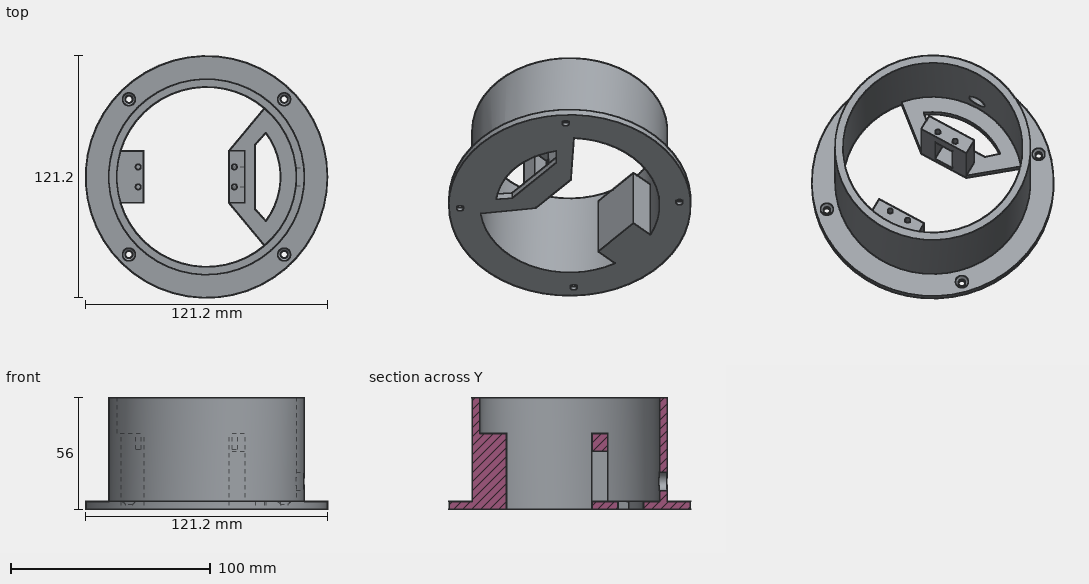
import cadquery as cq
import math

total_height = 56.0
flange_diameter = 121.25
flange_thickness = 4.0
tube_outer_radius = 49.0
tube_wall = 4.0
tube_inner_radius = tube_outer_radius - tube_wall
wall_middle_radius = tube_outer_radius - tube_wall / 2

flange_hole_circle_radius = 55.0
flange_hole_count = 4
first_flange_hole_angle = 45.0
flange_hole_diameter = 3.5
countersink_diameter = 6.4
countersink_angle = math.radians(90)

mount_width = 26.0
mount_top = 38.0
left_mount_face_x = -31.5
right_mount_face_x = 11.2
right_mount_depth = 8.0
screw_diameter = 2.7
screw_depth = 8.0
screw_spacing = 10.0
screw_edge_distance = 2.75

arch_width = 10.0
arch_lintel_height = 9.0
arch_top = mount_top - arch_lintel_height

shelf_top = flange_thickness
shelf_side_angle = math.radians(50.3)
window_near_x = 24.4
window_near_half_width = 16.2
window_side_angle = math.radians(47.7)
window_outer_radius = 37.0

cable_hole_diameter = 9.0
cable_hole_height = 14.0


def cylinder(radius, height):
    return cq.Workplane("XY").circle(radius).extrude(height)


def box(x_min, x_max, width, z_min, z_max):
    """Block centred on Y = 0."""
    return (
        cq.Workplane("XY", origin=((x_min + x_max) / 2, 0, z_min))
        .rect(x_max - x_min, width)
        .extrude(z_max - z_min)
    )


def flared_wedge(near_x, near_half_width, side_angle, radius, height):
    """Plate that widens from a flat near edge toward +X and ends on a cylinder."""
    far_x = radius
    far_half_width = near_half_width + (far_x - near_x) * math.tan(side_angle)
    outline = [
        (near_x, -near_half_width),
        (far_x, -far_half_width),
        (far_x, far_half_width),
        (near_x, near_half_width),
    ]
    plate = cq.Workplane("XY").polyline(outline).close().extrude(height)
    return plate.intersect(cylinder(radius, height))


def flanged_tube():
    flange = cylinder(flange_diameter / 2, flange_thickness)
    body = flange.union(cylinder(tube_outer_radius, total_height))
    return body.cut(cylinder(tube_inner_radius, total_height))


def flange_holes():
    """Through holes countersunk from the top of the flange."""
    hole_radius = flange_hole_diameter / 2
    sink_radius = countersink_diameter / 2
    sink_depth = (sink_radius - hole_radius) / math.tan(countersink_angle / 2)
    sink_bottom = flange_thickness - sink_depth
    half_profile = [
        (0, 0),
        (hole_radius, 0),
        (hole_radius, sink_bottom),
        (sink_radius, flange_thickness),
        (0, flange_thickness),
    ]
    hole = cq.Workplane("XZ").polyline(half_profile).close().revolve(360, (0, 0, 0), (0, 1, 0))
    return (
        cq.Workplane("XY")
        .polarArray(flange_hole_circle_radius, first_flange_hole_angle, 360, flange_hole_count)
        .eachpoint(hole.val(), combine="a")
    )


def shelf():
    plate = flared_wedge(
        right_mount_face_x, mount_width / 2, shelf_side_angle, wall_middle_radius, shelf_top
    )
    window = flared_wedge(
        window_near_x, window_near_half_width, window_side_angle, window_outer_radius, shelf_top
    )
    return plate.cut(window)


def right_mount():
    back_x = right_mount_face_x + right_mount_depth
    block = box(right_mount_face_x, back_x, mount_width, 0, mount_top)
    return block.cut(box(right_mount_face_x, back_x, arch_width, shelf_top, arch_top))


def left_mount():
    block = box(-tube_outer_radius, left_mount_face_x, mount_width, 0, mount_top)
    return block.intersect(cylinder(wall_middle_radius, mount_top))


def screw_holes():
    left_x = left_mount_face_x - screw_edge_distance
    right_x = right_mount_face_x + screw_edge_distance
    places = [(x, side * screw_spacing / 2) for x in (left_x, right_x) for side in (-1, 1)]
    return (
        cq.Workplane("XY", origin=(0, 0, mount_top))
        .pushPoints(places)
        .circle(screw_diameter / 2)
        .extrude(-screw_depth)
    )


def cable_hole():
    return (
        cq.Workplane("YZ", origin=(wall_middle_radius, 0, cable_hole_height))
        .circle(cable_hole_diameter / 2)
        .extrude(tube_wall, both=True)
    )


result = (
    flanged_tube()
    .cut(flange_holes())
    .union(shelf())
    .union(right_mount())
    .union(left_mount())
    .cut(screw_holes())
    .cut(cable_hole())
)